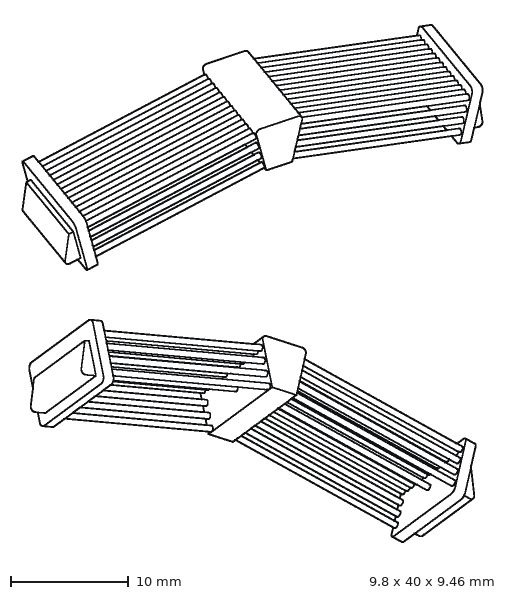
import cadquery as cq
import math

arm_tilt = 12.5
body_width = 9.8

block_height = 4.8
block_bottom_length = 2.48
block_top_length = block_bottom_length + 2 * block_height * math.tan(math.radians(arm_tilt))
block_edge_radius = 0.4

plate_thickness = 1.05
plate_height = 5.9
plate_corner_radius = 0.5
plate_center_y = 17.9
plate_center_z = -6.35

wedge_width = 7.8
wedge_top = 1.25
wedge_bottom = -2.0
wedge_top_depth = 0.45
wedge_bottom_depth = 1.6
wedge_edge_radius = 0.4

rod_diameter = 0.55
rod_count = 14
rod_bundle_width = 9.35
rod_pitch = (rod_bundle_width - rod_diameter) / (rod_count - 1)
outer_row_offset = 1.8
inner_row_offset = outer_row_offset / 3
side_row_offsets = [-outer_row_offset, -inner_row_offset, inner_row_offset]
rod_embed = 0.4
rod_length = (plate_center_y - (block_top_length + block_bottom_length) / 4) / math.cos(
    math.radians(arm_tilt)) + 2 * rod_embed


def make_block():
    """Tapered centre block with rounded upper edges."""
    half_top = block_top_length / 2
    half_bottom = block_bottom_length / 2
    return (
        cq.Workplane("YZ")
        .polyline([(-half_top, 0), (half_top, 0), (half_bottom, -block_height), (-half_bottom, -block_height)])
        .close()
        .extrude(body_width / 2, both=True)
        .edges("|X and >Z")
        .fillet(block_edge_radius)
    )


def make_plate():
    """End plate with rounded corners."""
    return (
        cq.Workplane("XY")
        .box(body_width, plate_thickness, plate_height, centered=(True, False, True))
        .edges("|Y")
        .fillet(plate_corner_radius)
    )


def make_wedge():
    """Wedge that deepens downward and has a rounded lower outer edge."""
    bottom_y = plate_thickness + wedge_bottom_depth
    return (
        cq.Workplane("YZ")
        .moveTo(plate_thickness, wedge_top)
        .lineTo(plate_thickness + wedge_top_depth, wedge_top)
        .lineTo(bottom_y, wedge_bottom)
        .lineTo(plate_thickness, wedge_bottom)
        .close()
        .extrude(wedge_width / 2, both=True)
        .edges(cq.selectors.NearestToPointSelector((0, bottom_y, wedge_bottom)))
        .fillet(wedge_edge_radius)
    )


def make_rods():
    """Full top row, side rods below it and one central rod, running inward from the plate."""
    side_x = rod_pitch * (rod_count - 1) / 2
    centers = [(-side_x + i * rod_pitch, outer_row_offset) for i in range(rod_count)]
    for side in (-1, 1):
        centers += [(side * side_x, offset) for offset in side_row_offsets]
    centers.append((0, 0))
    return (
        cq.Workplane("XZ", origin=(0, rod_embed, 0))
        .pushPoints(centers)
        .circle(rod_diameter / 2)
        .extrude(rod_length)
    )


def make_arm():
    """Plate, wedge and rods, tilted and moved to the +Y end."""
    return (
        make_plate()
        .union(make_wedge())
        .union(make_rods())
        .rotate((0, 0, 0), (1, 0, 0), -arm_tilt)
        .translate((0, plate_center_y, plate_center_z))
    )


arm = make_arm()
result = make_block().union(arm).union(arm.mirror("XZ"))